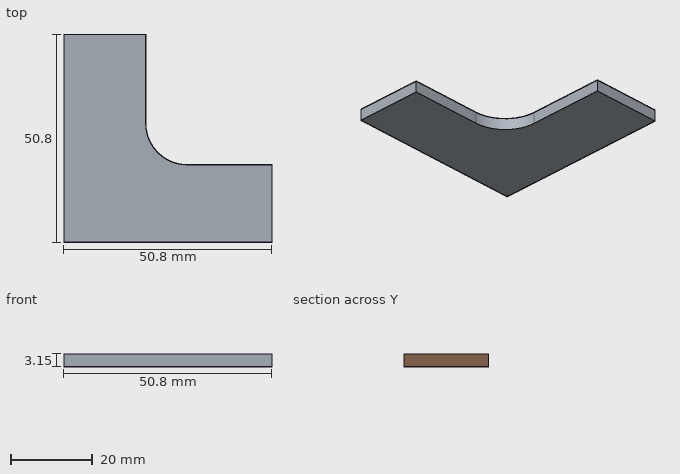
import cadquery as cq

side = 50.8
thickness = 3.15
x_leg_width = 19.0
y_leg_width = 20.0
inner_radius = y_leg_width / 2

outline = [
    (0, 0),
    (side, 0),
    (side, x_leg_width),
    (y_leg_width, x_leg_width),
    (y_leg_width, side),
    (0, side),
]
plate = cq.Workplane("XY").polyline(outline).close().extrude(thickness)

inner_corner = cq.selectors.NearestToPointSelector((y_leg_width, x_leg_width, thickness / 2))
result = plate.edges("|Z").edges(inner_corner).fillet(inner_radius)